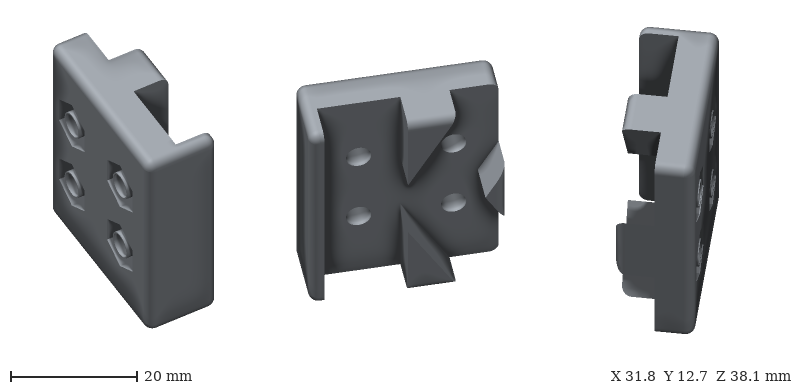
import cadquery as cq
import math

width = 31.75
depth = 12.7
height = 38.1
edge_radius = 1.6
base_depth = depth / 2

station_first_x = 7.28
station_pitch_x = 15.35
station_pitch_z = 13.5
station_centre_z = height / 2
hex_sides = 6
hex_across_flats = 8.15
hex_depth = 3.05
sleeve_diameter = 4.57
hole_diameter = 4.08

channel_width = 13.5
channel_lean = 30.0
channel_tail = channel_width
channel_reach = height


def front_cylinder(x, z, diameter, length):
    """Cylinder starting at the front face and running back along +Y."""
    direction = cq.Vector(0, 1, 0)
    return cq.Workplane(cq.Solid.makeCylinder(diameter / 2, length, cq.Vector(x, 0, z), direction))


def channel(x, z, side, lean):
    """Channel cutter running up (side 1) or down (side -1) from a station, leaning toward -X."""
    cutter = cq.Workplane("XY").box(
        channel_width, depth - base_depth, channel_tail + channel_reach, centered=(True, False, False)
    )
    cutter = cutter.translate((0, base_depth, -channel_tail)).rotate((0, 0, 0), (0, 1, 0), -lean)
    if side < 0:
        cutter = cutter.mirror("XY")
    return cutter.translate((x, 0, z))


def nut_pocket(x, z):
    """Hexagonal pocket with upright flats, leaving a round sleeve around the hole."""
    across_corners = hex_across_flats / math.cos(math.pi / hex_sides)
    half_side_angle = 180 / hex_sides
    hexagon = cq.Workplane("XY").polygon(hex_sides, across_corners).extrude(hex_depth)
    hexagon = hexagon.rotate((0, 0, 0), (0, 0, 1), half_side_angle)
    hexagon = hexagon.rotate((0, 0, 0), (1, 0, 0), -90)
    return hexagon.translate((x, 0, z)).cut(front_cylinder(x, z, sleeve_diameter, hex_depth))


result = cq.Workplane("XY").box(width, depth, height, centered=False).edges().fillet(edge_radius)

for column, lean in enumerate((channel_lean, 0)):
    for side in (-1, 1):
        station_x = station_first_x + column * station_pitch_x
        station_z = station_centre_z + side * station_pitch_z / 2
        result = result.cut(nut_pocket(station_x, station_z))
        result = result.cut(front_cylinder(station_x, station_z, hole_diameter, depth))
        result = result.cut(channel(station_x, station_z, side, lean))